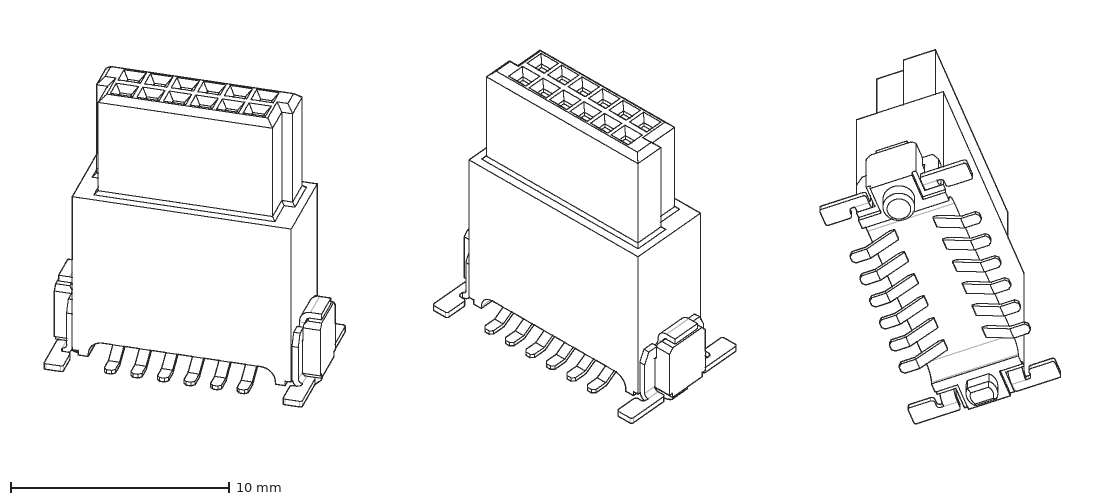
import cadquery as cq
import math


body_half_x = 5.23
body_half_y = 2.13
body_bottom = 0.12
body_top = 8.5
arch_half_x = 4.46
arch_top = 0.94
arch_radius = 0.69

plug_top = 13.67
plug_half_y = 1.54
plug_wide_half_x = 4.68
plug_narrow_half_x = 4.16
plug_step_y = -0.03
plug_tip_chamfer = 0.32
skirt_size = 0.16

contact_columns = 6
contact_pitch = 1.27
cavity_mouth_x = 1.07
cavity_mouth_y = 0.95
cavity_hole_x = 0.55
cavity_hole_y = 0.42
funnel_depth = 0.32
hole_depth = 0.2

pin_width = 0.53
pin_thickness = 0.2
pin_tip_y = 3.17
pin_tip_chamfer = 0.15
pin_bend_y = 2.36
pin_slope = math.radians(32)
pin_root_y = 0.94

sheet = 0.3
clip_outer_x = body_half_x + sheet
clip_half_y = 2.02
clip_window_half_y = 1.32
clip_window_top = 2.13
clip_shoulder_z = 2.78
clip_shoulder_half_y = 1.73
clip_chamfer_bottom = 2.19
bend_radius = 0.2
foot_tip_x = 6.16
foot_inner_x = 5.24
foot_tip_y = 3.6
foot_corner_radius = 0.12
relief_corner_radius = 0.16
relief_width = 0.29

hook_half_y = 0.76
hook_top = 3.37
hook_tip_x = 6.28
hook_bend_radius = 0.22
hook_relief_radius = 0.2

cap_outer_x = 6.35
cap_half_y = 1.22
cap_top = 3.04
cap_corner_y = 0.23
cap_corner_z = 0.26
cap_inner_chamfer = 0.15

notch_half_y = 1.02
notch_inner_x = 4.94
notch_top = 0.36

round_peg_x = 5.34
flat_peg_x = -5.39
peg_diameter = 1.45
peg_flat_width = 1.01
peg_bottom = -0.73
peg_chamfer = 0.19


def block(x_range, y_range, z_range):
    """Axis-aligned box between the given limits."""
    (x0, x1), (y0, y1), (z0, z1) = x_range, y_range, z_range
    return cq.Workplane("XY").box(x1 - x0, y1 - y0, z1 - z0, centered=False).translate((x0, y0, z0))


def on_both_ends(half):
    return half.union(half.mirror("YZ"))


def make_body():
    body = block((-body_half_x, body_half_x), (-body_half_y, body_half_y), (body_bottom, body_top))
    arch = block((-arch_half_x, arch_half_x), (-body_half_y, body_half_y), (body_bottom, arch_top))
    arch = arch.edges("|Y and >Z").fillet(arch_radius)
    return body.cut(arch)


def plug_prism(margin, bottom, top):
    """Stepped plug outline grown by a margin and extruded between two heights."""
    wide = plug_wide_half_x + margin
    narrow = plug_narrow_half_x + margin
    half_y = plug_half_y + margin
    step_y = plug_step_y - margin
    outline = [
        (-wide, half_y), (wide, half_y), (wide, step_y), (narrow, step_y),
        (narrow, -half_y), (-narrow, -half_y), (-narrow, step_y), (-wide, step_y),
    ]
    return cq.Workplane("XY").workplane(offset=bottom).polyline(outline).close().extrude(top - bottom)


def make_plug():
    plug = plug_prism(0, body_top - skirt_size, plug_top).faces(">Z").chamfer(plug_tip_chamfer)
    skirt = plug_prism(skirt_size, body_top - skirt_size, body_top + skirt_size)
    return plug.union(skirt.faces(">Z").chamfer(skirt_size))


def contact_xs():
    return [(i - (contact_columns - 1) / 2) * contact_pitch for i in range(contact_columns)]


def make_cavities():
    """Rectangular lead-in funnels in the plug top, each ending in a smaller straight hole."""
    centres = [(x, side * contact_pitch / 2) for x in contact_xs() for side in (-1, 1)]
    funnel = (
        cq.Workplane("XY").rect(cavity_mouth_x, cavity_mouth_y)
        .workplane(offset=-funnel_depth).rect(cavity_hole_x, cavity_hole_y).loft(ruled=True)
    )
    hole = (
        cq.Workplane("XY").workplane(offset=-funnel_depth)
        .rect(cavity_hole_x, cavity_hole_y).extrude(-hole_depth)
    )
    cavity = funnel.union(hole).val()
    return cq.Workplane("XY").pushPoints(centres).eachpoint(
        lambda place: cavity.moved(cq.Location((0, 0, plug_top)) * place)
    )


def make_pin():
    """Pin at X = 0 on the +Y side: sloped out of the body, then flat on the board."""
    rise = (pin_bend_y - pin_root_y) * math.tan(pin_slope)
    lower_bend_y = pin_bend_y - pin_thickness * math.tan(pin_slope / 2)
    lower_rise = (lower_bend_y - pin_root_y) * math.tan(pin_slope)
    profile = [
        (pin_tip_y, 0), (pin_tip_y, pin_thickness), (pin_bend_y, pin_thickness),
        (pin_root_y, pin_thickness + rise), (pin_root_y, lower_rise), (lower_bend_y, 0),
    ]
    pin = cq.Workplane("YZ").polyline(profile).close().extrude(pin_width / 2, both=True)
    return pin.faces(">Y").edges("|Z").chamfer(pin_tip_chamfer)


def make_pins():
    pin = make_pin()
    pair = pin.union(pin.mirror("XZ"))
    pins = cq.Workplane("XY")
    for x in contact_xs():
        pins = pins.union(pair.translate((x, 0, 0)))
    return pins


def make_clip_plate():
    """Upright plate whose top tongue, relieved at its root, bends outward over the end cap."""
    outer_radius = hook_bend_radius + sheet
    bend_x = body_half_x + outer_radius
    bend_z = hook_top - outer_radius
    bent_sheet = (
        cq.Workplane("XZ")
        .moveTo(body_half_x, clip_window_top)
        .lineTo(body_half_x, bend_z)
        .radiusArc((bend_x, hook_top), outer_radius)
        .lineTo(hook_tip_x, hook_top)
        .lineTo(hook_tip_x, hook_top - sheet)
        .lineTo(bend_x, hook_top - sheet)
        .radiusArc((clip_outer_x, bend_z), -hook_bend_radius)
        .lineTo(clip_outer_x, clip_window_top)
        .close()
        .extrude(clip_half_y, both=True)
    )
    half_outline = (
        cq.Workplane("YZ")
        .moveTo(0, clip_window_top)
        .lineTo(clip_half_y, clip_window_top)
        .lineTo(clip_half_y, clip_chamfer_bottom)
        .lineTo(clip_shoulder_half_y, clip_shoulder_z)
        .lineTo(hook_half_y + 2 * hook_relief_radius, clip_shoulder_z)
        .threePointArc(
            (hook_half_y + hook_relief_radius, clip_shoulder_z - hook_relief_radius),
            (hook_half_y, clip_shoulder_z),
        )
        .lineTo(hook_half_y, hook_top)
        .lineTo(0, hook_top)
        .close()
        .extrude(hook_tip_x)
    )
    return bent_sheet.intersect(half_outline.union(half_outline.mirror("XZ")))


def make_leg():
    """Leg on the +Y side: down from the plate and bent outward into the root of the foot."""
    outer_radius = bend_radius + sheet
    bend_x = body_half_x + outer_radius
    return (
        cq.Workplane("XZ")
        .moveTo(body_half_x, clip_window_top)
        .lineTo(body_half_x, outer_radius)
        .radiusArc((bend_x, 0), -outer_radius)
        .lineTo(bend_x, sheet)
        .radiusArc((clip_outer_x, outer_radius), bend_radius)
        .lineTo(clip_outer_x, clip_window_top)
        .close()
        .extrude(-(clip_half_y - clip_window_half_y))
        .translate((0, clip_window_half_y, 0))
    )


def make_foot():
    """Flat foot on the +Y side, with a rounded relief slot beside the leg."""
    bend_x = body_half_x + bend_radius + sheet
    slot_far_y = clip_half_y + relief_width
    tip = block((foot_inner_x, foot_tip_x), (slot_far_y, foot_tip_y), (0, sheet))
    root = block((bend_x, foot_tip_x), (clip_window_half_y, slot_far_y), (0, sheet))
    foot = tip.union(root)
    foot = foot.edges("|Z and (not >Y) and (not <Y)").fillet(relief_corner_radius)
    foot = foot.edges("|Z and >Y").fillet(foot_corner_radius)
    return foot.edges("|Z and <Y").edges(">X").fillet(foot_corner_radius)


def make_clip():
    side = make_leg().union(make_foot())
    return make_clip_plate().union(side).union(side.mirror("XZ"))


def make_cap():
    """Chamfered end cap with a neck that passes through the clip window to the body."""
    y_range = (-cap_half_y, cap_half_y)
    cap = block((clip_outer_x, cap_outer_x), y_range, (body_bottom, cap_top))
    cap = cap.faces(">Z").edges("|X").chamfer(cap_corner_z, cap_corner_y)
    cap = cap.faces(">Z").edges("<X").chamfer(cap_inner_chamfer)
    neck = block((body_half_x, clip_outer_x), y_range, (body_bottom, clip_window_top))
    return cap.union(neck)


def make_notches():
    notch = block((notch_inner_x, cap_outer_x), (notch_half_y, body_half_y), (body_bottom, notch_top))
    return on_both_ends(notch.union(notch.mirror("XZ")))


def make_pegs():
    """Round peg at the +X end; peg of the same diameter with two side flats at the -X end."""
    height = notch_top - peg_bottom
    peg = cq.Workplane("XY").workplane(offset=peg_bottom).circle(peg_diameter / 2).extrude(height)
    flats = (
        cq.Workplane("XY").workplane(offset=peg_bottom)
        .rect(peg_flat_width, peg_diameter).extrude(height)
    )
    round_peg = peg.faces("<Z").chamfer(peg_chamfer)
    flat_peg = peg.intersect(flats).faces("<Z").chamfer(peg_chamfer)
    return round_peg.translate((round_peg_x, 0, 0)).union(flat_peg.translate((flat_peg_x, 0, 0)))


housing = make_body().union(make_plug()).cut(make_cavities())
housing = housing.union(on_both_ends(make_cap())).cut(make_notches())
result = housing.union(make_pegs()).union(make_pins()).union(on_both_ends(make_clip()))